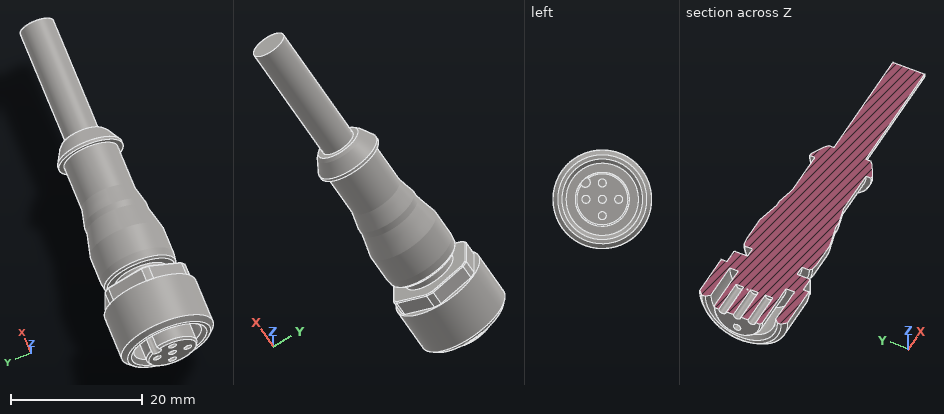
import cadquery as cq
import math

TOTAL_LENGTH = 57.8

NUT_DIAMETER = 15.0
NUT_START = 1.45
NUT_END = 9.5
NUT_CHAMFER = 0.75
BORE_DIAMETER = 11.0
BORE_MOUTH_CHAMFER = 0.65
BORE_DEPTH = 6.95
BORE_END = NUT_START + BORE_DEPTH

HEX_SIDES = 6
HEX_ACROSS_FLATS = 13.05
HEX_CORNER_DIAMETER = 14.45
HEX_END = 11.9
HEX_EDGE_CHAMFER = 0.2

INSERT_DIAMETER = 8.2
INSERT_CHAMFER_LENGTH = 0.4
INSERT_CHAMFER_HEIGHT = 0.25
CONTACT_DIAMETER = 1.2
CONTACT_RADIUS = 2.5
CONTACT_COUNT = 4
CONTACT_DEPTH = 5.8
KEYWAY_DIAMETER = 1.5
KEYWAY_RADIUS = 3.65
KEYWAY_LENGTH = 6.35
KEYWAY_ANGLE = 45.0

NECK_DIAMETER = 8.5
BODY_DIAMETER = 12.0
BODY_FRONT_DIAMETER = 11.7
BODY_START = 13.45
BODY_FRONT_ROUNDING = 0.35
BODY_FRONT_END = 15.0
BODY_END = 19.4
WAIST_DIAMETER = 10.2
WAIST_START = 23.25
WAIST_END = 24.3
TAIL_DIAMETER = 8.8
TAIL_START = 27.2

COLLAR_DIAMETER = 10.5
COLLAR_START = 34.75
COLLAR_RIM_END = 35.25
COLLAR_TAPER_END = 37.4
COLLAR_TAPER_DIAMETER = 8.2
COLLAR_END = 38.0
COLLAR_END_DIAMETER = 7.15
CABLE_DIAMETER = 5.5


def cylinder(diameter, start, end):
    """Solid cylinder on the X axis between two X positions."""
    return cq.Workplane("YZ").workplane(offset=start).circle(diameter / 2).extrude(end - start)


def make_nut():
    """Chamfered round nut with a hexagonal rear end and an open front bore."""
    nut = cylinder(NUT_DIAMETER, NUT_START, NUT_END)
    nut = nut.faces("<X").chamfer(NUT_CHAMFER)

    across_corners = HEX_ACROSS_FLATS / math.cos(math.pi / HEX_SIDES)
    hexagon = (
        cq.Workplane("YZ").workplane(offset=BORE_END)
        .transformed(rotate=(0, 0, 90))
        .polygon(HEX_SIDES, across_corners)
        .extrude(HEX_END - BORE_END)
    )
    rounding = cylinder(HEX_CORNER_DIAMETER, BORE_END, HEX_END)
    hex_end = hexagon.intersect(rounding).faces(">X").chamfer(HEX_EDGE_CHAMFER)
    nut = nut.union(hex_end)

    bore = cylinder(BORE_DIAMETER, NUT_START, BORE_END)
    bore_radius = BORE_DIAMETER / 2
    mouth_end = NUT_START + BORE_MOUTH_CHAMFER
    mouth_outline = (
        cq.Workplane("XY")
        .moveTo(NUT_START, 0)
        .lineTo(NUT_START, bore_radius + BORE_MOUTH_CHAMFER)
        .lineTo(mouth_end, bore_radius)
        .lineTo(mouth_end, 0)
        .close()
    )
    mouth = mouth_outline.revolve(360, (0, 0, 0), (1, 0, 0))
    return nut.cut(bore).cut(mouth)


def make_core():
    """Turned profile of the insert, neck, grip, collar and cable."""
    outline = (
        cq.Workplane("XY")
        .moveTo(0, 0)
        .lineTo(0, INSERT_DIAMETER / 2 - INSERT_CHAMFER_HEIGHT)
        .lineTo(INSERT_CHAMFER_LENGTH, INSERT_DIAMETER / 2)
        .lineTo(BORE_END, INSERT_DIAMETER / 2)
        .lineTo(BORE_END, NECK_DIAMETER / 2)
        .lineTo(BODY_START, NECK_DIAMETER / 2)
        .lineTo(BODY_START, BODY_FRONT_DIAMETER / 2 - BODY_FRONT_ROUNDING)
        .lineTo(BODY_START + BODY_FRONT_ROUNDING, BODY_FRONT_DIAMETER / 2)
        .lineTo(BODY_FRONT_END, BODY_DIAMETER / 2)
        .lineTo(BODY_END, BODY_DIAMETER / 2)
        .lineTo(WAIST_START, WAIST_DIAMETER / 2)
        .lineTo(WAIST_END, WAIST_DIAMETER / 2)
        .lineTo(TAIL_START, TAIL_DIAMETER / 2)
        .lineTo(COLLAR_START, TAIL_DIAMETER / 2)
        .lineTo(COLLAR_START, COLLAR_DIAMETER / 2)
        .lineTo(COLLAR_RIM_END, COLLAR_DIAMETER / 2)
        .lineTo(COLLAR_TAPER_END, COLLAR_TAPER_DIAMETER / 2)
        .lineTo(COLLAR_END, COLLAR_END_DIAMETER / 2)
        .lineTo(COLLAR_END, CABLE_DIAMETER / 2)
        .lineTo(TOTAL_LENGTH, CABLE_DIAMETER / 2)
        .lineTo(TOTAL_LENGTH, 0)
        .close()
    )
    return outline.revolve(360, (0, 0, 0), (1, 0, 0))


def make_contact_holes():
    """One central contact hole and a ring of holes around it."""
    return (
        cq.Workplane("YZ")
        .circle(CONTACT_DIAMETER / 2)
        .polarArray(CONTACT_RADIUS, 0, 360, CONTACT_COUNT)
        .circle(CONTACT_DIAMETER / 2)
        .extrude(CONTACT_DEPTH)
    )


def make_keyway():
    """Round-bottomed groove along the side of the insert."""
    angle = math.radians(KEYWAY_ANGLE)
    return (
        cq.Workplane("YZ")
        .center(KEYWAY_RADIUS * math.cos(angle), KEYWAY_RADIUS * math.sin(angle))
        .circle(KEYWAY_DIAMETER / 2)
        .extrude(KEYWAY_LENGTH)
    )


result = make_nut().union(make_core()).cut(make_contact_holes()).cut(make_keyway())